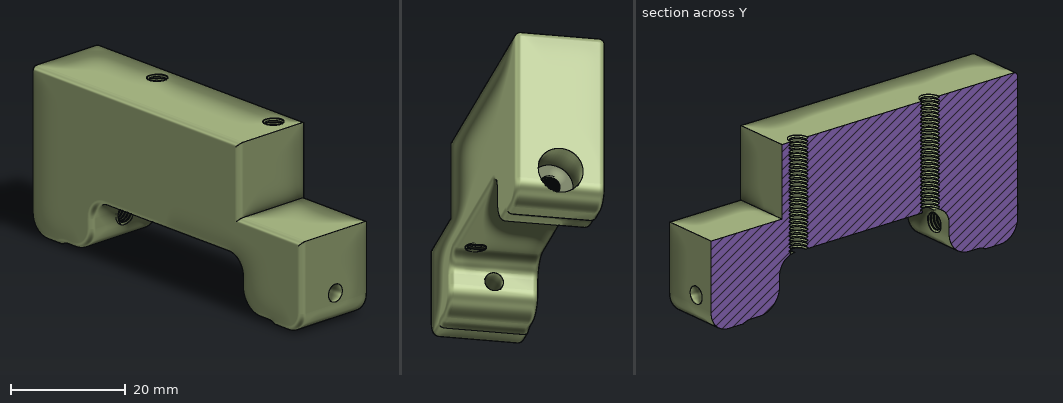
import cadquery as cq

length = 69.0
width = 16.0
height = 31.5
edge_round = 1.05

step_x = 53.05
step_height = 17.5

foot_length = 15.5
notch_height = 10.4
notch_round = 3.45
foot_outer_round = 4.0
foot_inner_round = 4.55
pad_end = 7.3
pad_height = 0.5
pad_blend_length = 1.65

thread_minor_radius = 3.3 / 2
thread_major_radius = 4.15 / 2
thread_pitch = 0.7
groove_mouth = 0.5
groove_root = 0.1
groove_overlap = 0.1

top_hole_inset = 19.7
top_hole_y = 4.0
top_groove_angle = 275.0

cross_hole_z = 6.1
cross_groove_angle = 110.0
counterbore_diameter = 8.0
counterbore_depth = 8.0


def half_body():
    """One end of the body, from the middle of the notch roof outwards."""
    blend_end = pad_end + pad_blend_length
    return (
        cq.Workplane("XZ")
        .moveTo(length / 2, notch_height)
        .lineTo(foot_length + notch_round, notch_height)
        .tangentArcPoint((foot_length, notch_height - notch_round), relative=False)
        .lineTo(foot_length, pad_height + foot_inner_round)
        .tangentArcPoint((foot_length - foot_inner_round, pad_height), relative=False)
        .lineTo(blend_end, pad_height)
        .tangentArcPoint((pad_end, 0), relative=False)
        .lineTo(foot_outer_round, 0)
        .tangentArcPoint((0, foot_outer_round), relative=False)
        .lineTo(0, height)
        .lineTo(length / 2, height)
        .close()
        .extrude(width / 2, both=True)
    )


def make_body():
    """Symmetric bridge with a step cut at +X and its outer edges rounded."""
    left_half = half_body()
    right_half = left_half.mirror("YZ", (length / 2, 0, 0))
    step = cq.Workplane("XY").box(
        length - step_x, width, height - step_height, centered=(False, True, False)
    )
    body = left_half.union(right_half).cut(step.translate((step_x, 0, step_height))).clean()
    top_left_edge = body.faces("<X").edges(">Z").vals()
    side_edges = body.faces("<Y or >Y").edges().vals()
    return body.newObject(top_left_edge + side_edges).fillet(edge_round)


def thread_groove(depth, mouth_angle):
    """Helical groove ending flush at the XY plane, where it is deepest at mouth_angle."""
    inner_radius = thread_minor_radius - groove_overlap
    helix = cq.Wire.makeHelix(thread_pitch, depth + 2 * thread_pitch, inner_radius)
    groove = (
        cq.Workplane("XZ")
        .moveTo(inner_radius, -groove_mouth / 2)
        .lineTo(thread_major_radius, -groove_root / 2)
        .lineTo(thread_major_radius, groove_root / 2)
        .lineTo(inner_radius, groove_mouth / 2)
        .close()
        .sweep(cq.Workplane(helix), isFrenet=True)
        .translate((0, 0, -depth - thread_pitch))
    )
    turns = (depth + thread_pitch) / thread_pitch
    groove = groove.rotate((0, 0, 0), (0, 0, 1), mouth_angle - 360 * turns)
    extent = cq.Workplane("XY").circle(2 * thread_major_radius).extrude(-depth)
    return groove.intersect(extent)


def cut_top_holes(body):
    """Two threaded holes that run down from the top face and end level with the notch roof."""
    depth = height - notch_height
    core = cq.Workplane("XY").circle(thread_minor_radius).extrude(-depth)
    cutter = core.union(thread_groove(depth, top_groove_angle), clean=False)
    for x in (top_hole_inset, length - top_hole_inset):
        mouth = (x, top_hole_y, height)
        body = body.cut(cutter.translate(mouth))
    return body


def cut_cross_hole(body):
    """Lengthwise hole, counterbored from -X and threaded through the rest of the -X foot."""
    start = cq.Workplane("YZ", origin=(0, 0, cross_hole_z))
    core = start.circle(thread_minor_radius).extrude(length)
    counterbore = start.circle(counterbore_diameter / 2).extrude(counterbore_depth)
    groove = thread_groove(foot_length - counterbore_depth, cross_groove_angle)
    groove = groove.rotate((0, 0, 0), (0, 1, 0), -90)
    groove = groove.translate((counterbore_depth, 0, cross_hole_z))
    return body.cut(core).cut(counterbore).cut(groove)


result = cut_cross_hole(cut_top_holes(make_body())).solids()